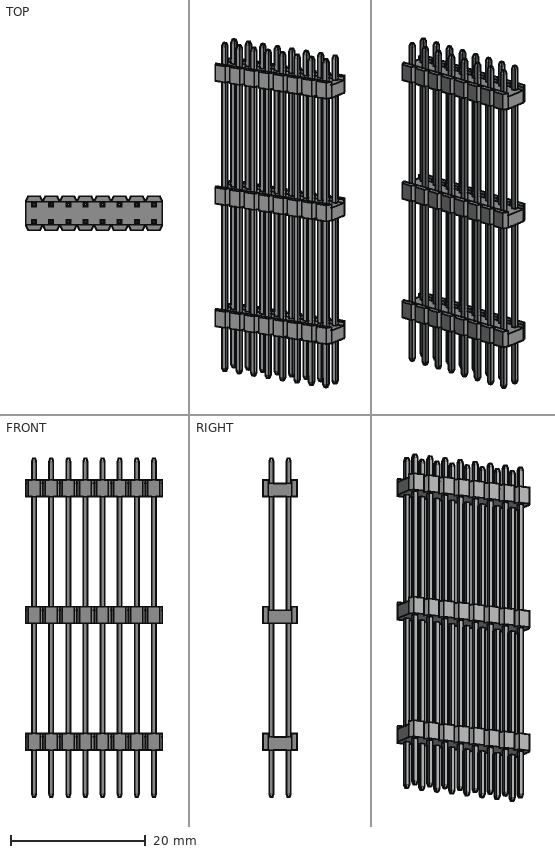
import cadquery as cq

columns = 8
rows = 2
pin_length = 50.25
pin_width = 0.65
tip_length = 0.5
tip_width = 0.35

spacer_count = 3
spacer_length = 20.3
spacer_height = 2.45
spacer_spacing = 18.8
top_pin_length = 3.2
channel_width = 3.35
channel_depth = 0.5
tooth_face = 1.75
web = 0.05

pitch = spacer_length / columns
spacer_width = rows * pitch
core_width = channel_width + 2 * web
highest_spacer_z = pin_length - top_pin_length - spacer_height


def column_x(column):
    return (column - (columns - 1) / 2) * pitch


def make_spacer():
    """Insulator with tapered teeth on both long sides and a recess along its top."""
    body = cq.Workplane("XY").box(spacer_length, core_width, spacer_height, centered=(True, True, False))
    for column in range(columns):
        x = column_x(column)
        for side in (-1, 1):
            root_y = side * core_width / 2
            face_y = side * spacer_width / 2
            tooth = (
                cq.Workplane("XY")
                .polyline([
                    (x - pitch / 2, root_y),
                    (x - tooth_face / 2, face_y),
                    (x + tooth_face / 2, face_y),
                    (x + pitch / 2, root_y),
                ])
                .close()
                .extrude(spacer_height)
            )
            body = body.union(tooth)
    recess = (
        cq.Workplane("XY")
        .workplane(offset=spacer_height - channel_depth)
        .rect(spacer_length, channel_width)
        .extrude(channel_depth)
    )
    return body.cut(recess)


def make_pin():
    """Square pin standing on Z = 0, tapered at both ends."""
    shank = (
        cq.Workplane("XY")
        .workplane(offset=tip_length)
        .rect(pin_width, pin_width)
        .extrude(pin_length - 2 * tip_length)
    )
    bottom_tip = (
        cq.Workplane("XY")
        .rect(tip_width, tip_width)
        .workplane(offset=tip_length)
        .rect(pin_width, pin_width)
        .loft(ruled=True)
    )
    top_tip = bottom_tip.mirror("XY").translate((0, 0, pin_length))
    return shank.union(bottom_tip).union(top_tip)


spacer = make_spacer()
pin = make_pin()

result = cq.Workplane("XY")
for level in range(spacer_count):
    result = result.add(spacer.translate((0, 0, highest_spacer_z - level * spacer_spacing)))
result = result.combine()

for column in range(columns):
    for row in range(rows):
        y = (row - (rows - 1) / 2) * pitch
        result = result.union(pin.translate((column_x(column), y, 0)))